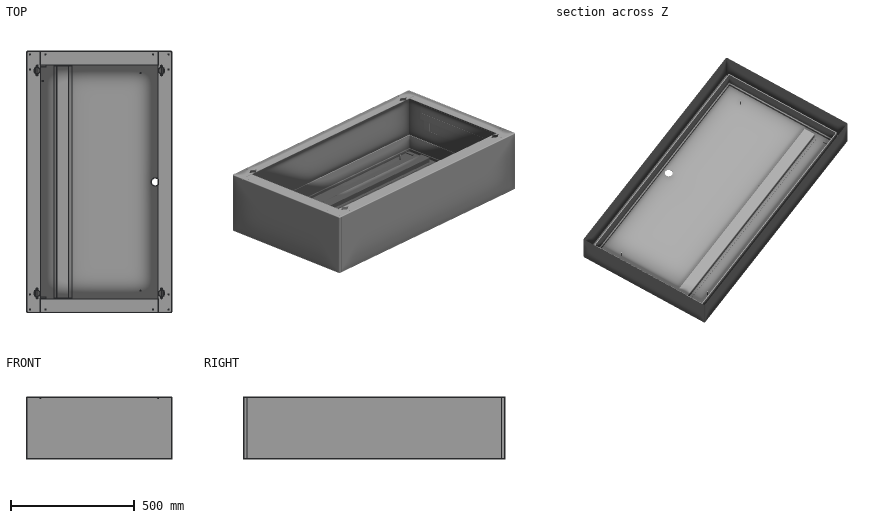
import cadquery as cq

LENGTH_X = 586.0
LENGTH_Y = 1056.0
HEIGHT = 250.0
SHEET = 1.6
CORNER_RADIUS = 5.0
RIM_BEND_RADIUS = 3.0
RIM_WIDTH = 55.0

SEAM_WIDTH = 0.5
SEAM_DEPTH = 0.8
CORNER_SEAM_INSET = 14.0
RELIEF_WIDTH = 2.0
RELIEF_DEPTH = 5.0

SCREW_HOLE_DIAMETER = 4.0
SCREW_EDGE_INSET = 13.0
SIDE_SCREW_Y = 454.0
END_SCREW_X = 218.0
HANGER_X = 251.0
HANGER_Y = 450.0
HANGER_DIAMETER = 25.0
HANGER_SLOT_LENGTH = 42.0
HANGER_SLOT_WIDTH = 7.0
CABLE_HOLE_X = 226.0
CABLE_HOLE_DIAMETER = 32.0

SKIRT_THICKNESS = 3.0
SKIRT_LIP_X = 258.0
SKIRT_LIP_Y = 494.0
SKIRT_TOP = 71.0
SKIRT_FOOT = 5.0
SKIRT_FOOT_HEIGHT = 12.0

RAIL_HALF_LENGTH = 469.0
RAIL_LEFT = -183.0
RAIL_WEB_LEFT = -172.0
RAIL_WEB_RIGHT = -124.0
RAIL_RIGHT = -110.0
RAIL_RISE = 21.0
RAIL_BEND_RADIUS = 4.0

PLATE_SHEET = 1.0
PLATE_HALF_LENGTH = 226.0
PLATE_BOTTOM = 143.0
PLATE_STEP = 170.0
PLATE_TOP = 211.0
STRIP_HALF_LENGTH = 205.0
STRIP_BOTTOM = 101.0
STRIP_SLOT_X = 172.0
STRIP_SLOT_WIDTH = 5.0
STRIP_SLOT_MARGIN = 2.0

STUD_X = 167.0
STUD_Y = 440.0
STUD_DIAMETER = 4.0
STUD_HEIGHT = 21.0
EARTH_STUD_X = -228.0
EARTH_STUD_Y = 408.0
EARTH_STUD_DIAMETER = 5.0
EARTH_STUD_HEIGHT = 21.0
CROSS_PIN_END_X = -214.0
CROSS_PIN_Y = 468.0
CROSS_PIN_DIAMETER = 7.0

HALF_X = LENGTH_X / 2
HALF_Y = LENGTH_Y / 2
WALL_X = HALF_X - SHEET
WALL_Y = HALF_Y - SHEET
OPENING_X = HALF_X - RIM_WIDTH
OPENING_Y = HALF_Y - RIM_WIDTH
BOTH_SIDES = (-1, 1)


def block(x_range, y_range, z_range):
    """A box that spans the given ranges."""
    sizes = [high - low for low, high in (x_range, y_range, z_range)]
    origin = (x_range[0], y_range[0], z_range[0])
    return cq.Workplane("XY").box(*sizes, centered=False).translate(origin)


def upright_pin(x, y, base, diameter, height):
    """A cylinder standing at (x, y) from the height `base`."""
    return cq.Workplane("XY", origin=(x, y, base)).circle(diameter / 2).extrude(height)


def four_way(x, y):
    """The point (x, y) mirrored into all four quadrants."""
    return [(i * x, j * y) for i in BOTH_SIDES for j in BOTH_SIDES]


def make_shell():
    """The folded box: floor, four walls and the rim around the opening."""
    outer = cq.Workplane("XY").box(LENGTH_X, LENGTH_Y, HEIGHT, centered=(True, True, False))
    outer = outer.edges("|Z").fillet(CORNER_RADIUS).faces(">Z").edges().fillet(RIM_BEND_RADIUS)
    cavity = block((-WALL_X, WALL_X), (-WALL_Y, WALL_Y), (SHEET, HEIGHT - SHEET))
    cavity = cavity.edges("|Z").fillet(CORNER_RADIUS - SHEET)
    opening = block((-OPENING_X, OPENING_X), (-OPENING_Y, OPENING_Y), (HEIGHT / 2, HEIGHT))
    return outer.cut(cavity).cut(opening)


def cut_seams(shell):
    """Grooves where the rim panels meet and where the end walls wrap round onto the side walls."""
    half_width = SEAM_WIDTH / 2
    seam_y = HALF_Y - CORNER_SEAM_INSET
    for i in BOTH_SIDES:
        x = i * OPENING_X
        for j in BOTH_SIDES:
            rim_y = sorted((j * OPENING_Y, j * HALF_Y))
            shell = shell.cut(
                block((x - half_width, x + half_width), rim_y, (HEIGHT - SEAM_DEPTH, HEIGHT))
            )
            relief_y = sorted((j * WALL_Y, j * HALF_Y))
            shell = shell.cut(
                block(
                    (x - RELIEF_WIDTH / 2, x + RELIEF_WIDTH / 2),
                    relief_y,
                    (HEIGHT - RELIEF_DEPTH, HEIGHT),
                )
            )
            wall_x = sorted((i * (HALF_X - SEAM_DEPTH), i * HALF_X))
            y = j * seam_y
            shell = shell.cut(
                block(wall_x, (y - half_width, y + half_width), (0, HEIGHT - RIM_BEND_RADIUS))
            )
    return shell


def cut_holes(shell):
    """Screw holes and slotted hanger holes in the rim, and the cable hole in the floor."""
    rim = cq.Workplane("XY", origin=(0, 0, HEIGHT - SHEET))
    screw_x = HALF_X - SCREW_EDGE_INSET
    screw_y = HALF_Y - SCREW_EDGE_INSET
    screws = four_way(screw_x, screw_y) + four_way(screw_x, SIDE_SCREW_Y) + four_way(END_SCREW_X, screw_y)
    hangers = four_way(HANGER_X, HANGER_Y)
    shell = shell.cut(rim.pushPoints(screws).circle(SCREW_HOLE_DIAMETER / 2).extrude(SHEET))
    shell = shell.cut(rim.pushPoints(hangers).circle(HANGER_DIAMETER / 2).extrude(SHEET))
    slots = rim.pushPoints(hangers).slot2D(HANGER_SLOT_LENGTH, HANGER_SLOT_WIDTH, 90).extrude(SHEET)
    shell = shell.cut(slots)
    return shell.cut(upright_pin(CABLE_HOLE_X, 0, 0, CABLE_HOLE_DIAMETER, SHEET))


def make_skirt():
    """A ring on the floor: an upright lip with a low foot along its inner side."""
    outer_x = SKIRT_LIP_X + SKIRT_THICKNESS
    outer_y = SKIRT_LIP_Y + SKIRT_THICKNESS
    foot_x = SKIRT_LIP_X - SKIRT_FOOT
    foot_y = SKIRT_LIP_Y - SKIRT_FOOT
    foot_top = SHEET + SKIRT_FOOT_HEIGHT
    ring = block((-outer_x, outer_x), (-outer_y, outer_y), (SHEET, SKIRT_TOP))
    above_foot = block((-SKIRT_LIP_X, SKIRT_LIP_X), (-SKIRT_LIP_Y, SKIRT_LIP_Y), (foot_top, SKIRT_TOP))
    inside_foot = block((-foot_x, foot_x), (-foot_y, foot_y), (SHEET, SKIRT_TOP))
    return ring.cut(above_foot).cut(inside_foot)


def make_rail():
    """A hat section on the floor, with its left upper bend rounded."""
    top = SHEET + RAIL_RISE
    length = 2 * RAIL_HALF_LENGTH
    start = cq.Workplane("XZ", origin=(0, RAIL_HALF_LENGTH, 0))
    section = start.polyline(
        [
            (RAIL_LEFT, SHEET),
            (RAIL_WEB_LEFT + SHEET, SHEET),
            (RAIL_WEB_LEFT + SHEET, top - SHEET),
            (RAIL_WEB_RIGHT - SHEET, top - SHEET),
            (RAIL_WEB_RIGHT - SHEET, SHEET),
            (RAIL_RIGHT, SHEET),
            (RAIL_RIGHT, 2 * SHEET),
            (RAIL_WEB_RIGHT, 2 * SHEET),
            (RAIL_WEB_RIGHT, top),
            (RAIL_WEB_LEFT, top),
            (RAIL_WEB_LEFT, 2 * SHEET),
            (RAIL_LEFT, 2 * SHEET),
        ]
    ).close()
    rail = section.extrude(length)
    return rail.edges(cq.selectors.NearestToPointSelector((RAIL_WEB_LEFT, 0, top))).fillet(RAIL_BEND_RADIUS)


def make_gland_plate():
    """A plate on the +Y wall, thicker below its step."""
    span = (-PLATE_HALF_LENGTH, PLATE_HALF_LENGTH)
    plate = block(span, (WALL_Y - PLATE_SHEET, WALL_Y), (PLATE_BOTTOM, PLATE_TOP))
    return plate.union(block(span, (WALL_Y - 2 * PLATE_SHEET, WALL_Y), (PLATE_BOTTOM, PLATE_STEP)))


def make_backing_strip():
    """A strip below the gland plate, with a narrow slot near each end."""
    span = (-STRIP_HALF_LENGTH, STRIP_HALF_LENGTH)
    height = (STRIP_BOTTOM, PLATE_BOTTOM)
    strip = block(span, (WALL_Y - PLATE_SHEET, WALL_Y), height)
    slot_height = PLATE_BOTTOM - STRIP_BOTTOM - 2 * STRIP_SLOT_MARGIN
    slot = (
        cq.Workplane("XZ", origin=(0, WALL_Y, (STRIP_BOTTOM + PLATE_BOTTOM) / 2))
        .pushPoints([(i * STRIP_SLOT_X, 0) for i in BOTH_SIDES])
        .rect(STRIP_SLOT_WIDTH, slot_height)
        .extrude(PLATE_SHEET)
    )
    return strip.cut(slot)


def make_cross_pin(y):
    """A pin along X that lies on the floor and butts against the foot of the skirt."""
    radius = CROSS_PIN_DIAMETER / 2
    start_x = SKIRT_FOOT - SKIRT_LIP_X
    start = cq.Workplane("YZ", origin=(start_x, y, SHEET + radius))
    return start.circle(radius).extrude(CROSS_PIN_END_X - start_x)


housing = cut_holes(cut_seams(make_shell()))
skirt = make_skirt()
rail = make_rail()
gland_plate = make_gland_plate()
backing_strip = make_backing_strip()
studs = [upright_pin(STUD_X, j * STUD_Y, SHEET, STUD_DIAMETER, STUD_HEIGHT) for j in BOTH_SIDES]
earth_stud = upright_pin(EARTH_STUD_X, EARTH_STUD_Y, SHEET, EARTH_STUD_DIAMETER, EARTH_STUD_HEIGHT)
cross_pins = [make_cross_pin(j * CROSS_PIN_Y) for j in BOTH_SIDES]

result = cq.Compound.makeCompound(
    [
        housing.val(),
        skirt.val(),
        rail.val(),
        gland_plate.val(),
        backing_strip.val(),
        *[stud.val() for stud in studs],
        earth_stud.val(),
        *[pin.val() for pin in cross_pins],
    ]
)